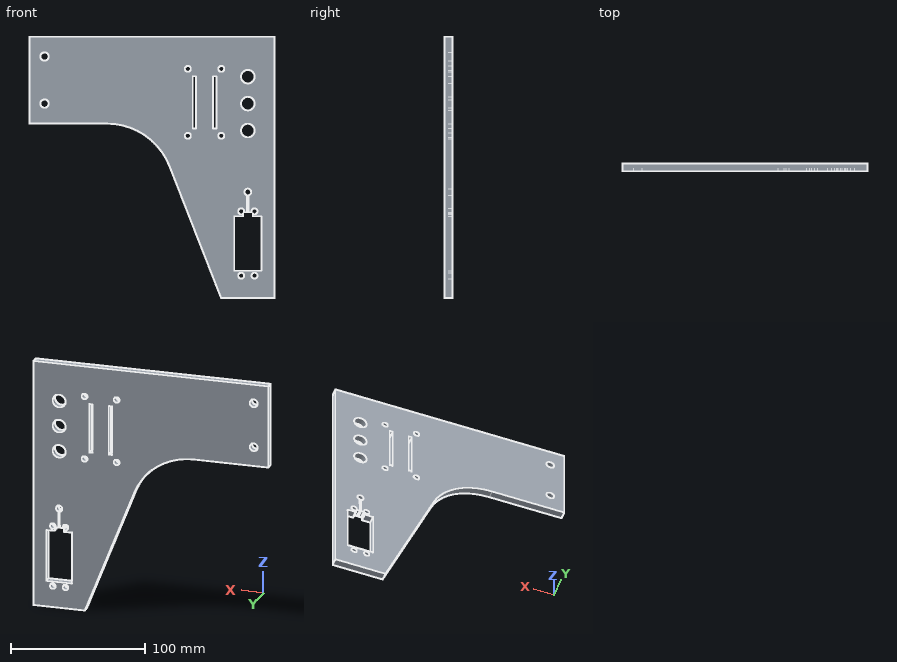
import cadquery as cq

width = 183.0
height = 195.0
thickness = 6.0
arm_height = 65.0
foot_width = 40.0
inner_corner_x = 92.0
inner_radius = 50.0

arm_hole_diameter = 6.0
arm_hole_x = 11.3
arm_hole_drop = 14.8
arm_hole_pitch = 35.1

foot_center_x = width - foot_width / 2
large_hole_diameter = 10.0
large_hole_drop = 29.8
large_hole_pitch = 20.0
large_hole_count = 3

screw_hole_diameter = 4.3
panel_center = (width - 52.3, height - 49.0)
panel_hole_pitch_x = 25.0
panel_hole_pitch_z = 50.0
slot_width = 2.3
slot_length = 38.8
slot_pitch = 15.2

window_width = 20.0
window_bottom = 20.5
window_top = 61.0
neck_width = 7.0
neck_top = 64.0
slit_width = 1.2
slit_end_z = 79.2
slit_end_diameter = 4.9
window_hole_pitch_x = 10.0
window_hole_pitch_z = 48.0
window_hole_center_z = 40.8


def extrude_back(sketch):
    """Extrude an XZ sketch from the front face at Y = 0 to the back face."""
    return sketch.extrude(-thickness)


def round_cutters(points, diameter):
    return extrude_back(cq.Workplane("XZ").pushPoints(points).circle(diameter / 2))


def box_cutter(center_x, bottom, top, box_width):
    sketch = cq.Workplane("XZ").center(center_x, (bottom + top) / 2).rect(box_width, top - bottom)
    return extrude_back(sketch)


def corner_points(center_x, center_z, pitch_x, pitch_z):
    return [
        (center_x + side_x * pitch_x / 2, center_z + side_z * pitch_z / 2)
        for side_x in (-1, 1)
        for side_z in (-1, 1)
    ]


def make_plate():
    arm_bottom = height - arm_height
    outline = (
        cq.Workplane("XZ")
        .moveTo(0, height)
        .lineTo(width, height)
        .lineTo(width, 0)
        .lineTo(width - foot_width, 0)
        .lineTo(inner_corner_x, arm_bottom)
        .lineTo(0, arm_bottom)
        .close()
    )
    inner_corner = cq.selectors.NearestToPointSelector((inner_corner_x, thickness / 2, arm_bottom))
    return extrude_back(outline).edges("|Y").edges(inner_corner).fillet(inner_radius)


def cut_arm_holes(plate):
    top_z = height - arm_hole_drop
    points = [(arm_hole_x, top_z), (arm_hole_x, top_z - arm_hole_pitch)]
    return plate.cut(round_cutters(points, arm_hole_diameter))


def cut_large_holes(plate):
    top_z = height - large_hole_drop
    points = [(foot_center_x, top_z - i * large_hole_pitch) for i in range(large_hole_count)]
    return plate.cut(round_cutters(points, large_hole_diameter))


def cut_slot_panel(plate):
    center_x, center_z = panel_center
    points = corner_points(center_x, center_z, panel_hole_pitch_x, panel_hole_pitch_z)
    plate = plate.cut(round_cutters(points, screw_hole_diameter))
    bottom = center_z - slot_length / 2
    for side in (-1, 1):
        slot_x = center_x + side * slot_pitch / 2
        plate = plate.cut(box_cutter(slot_x, bottom, bottom + slot_length, slot_width))
    return plate


def cut_window(plate):
    plate = plate.cut(box_cutter(foot_center_x, window_bottom, window_top, window_width))
    plate = plate.cut(box_cutter(foot_center_x, window_bottom, neck_top, neck_width))
    plate = plate.cut(box_cutter(foot_center_x, window_bottom, slit_end_z, slit_width))
    plate = plate.cut(round_cutters([(foot_center_x, slit_end_z)], slit_end_diameter))
    points = corner_points(
        foot_center_x, window_hole_center_z, window_hole_pitch_x, window_hole_pitch_z
    )
    return plate.cut(round_cutters(points, screw_hole_diameter))


plate = make_plate()
plate = cut_arm_holes(plate)
plate = cut_large_holes(plate)
plate = cut_slot_panel(plate)
result = cut_window(plate)